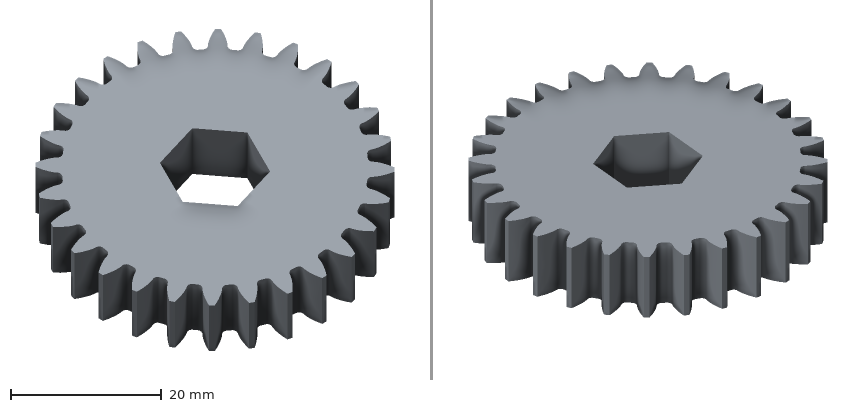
import cadquery as cq
import math

tooth_count = 28
outer_diameter = 47.6
face_width = 9.52
pressure_angle = math.radians(20)
dedendum_factor = 1.2
backlash = 0.4
root_fillet = 0.7
hex_across_flats = 12.7
hex_turn = -0.5

module = outer_diameter / (tooth_count + 2)
tip_radius = outer_diameter / 2
pitch_radius = module * tooth_count / 2
base_radius = pitch_radius * math.cos(pressure_angle)
root_radius = pitch_radius - dedendum_factor * module
tooth_pitch = 2 * math.pi / tooth_count
pitch_thickness = math.pi * module / 2 - backlash
flank_steps = 10


def involute(angle):
    return math.tan(angle) - angle


def polar(radius, angle):
    return (radius * math.cos(angle), radius * math.sin(angle))


def half_tooth_angle(radius):
    """Half the angle a tooth spans at a radius; it stays constant below the base circle."""
    local_pressure_angle = math.acos(min(1.0, base_radius / radius))
    half_at_pitch = pitch_thickness / (2 * pitch_radius)
    return half_at_pitch + involute(pressure_angle) - involute(local_pressure_angle)


def gear_blank():
    """Toothed disc: flanks radial up to the base circle and involute above, arcs at tip and root."""
    tooth_depth = tip_radius - root_radius
    radii = [root_radius + tooth_depth * i / flank_steps for i in range(flank_steps + 1)]
    foot_half = half_tooth_angle(root_radius)
    outline = cq.Workplane("XY").moveTo(*polar(root_radius, -foot_half))
    for i in range(tooth_count):
        center = i * tooth_pitch
        rising = [polar(r, center - half_tooth_angle(r)) for r in radii]
        falling = [polar(r, center + half_tooth_angle(r)) for r in reversed(radii)]
        space_middle = polar(root_radius, center + tooth_pitch / 2)
        next_foot = polar(root_radius, center + tooth_pitch - foot_half)
        outline = (
            outline.spline(rising[1:], includeCurrent=True)
            .threePointArc(polar(tip_radius, center), falling[0])
            .spline(falling[1:], includeCurrent=True)
            .threePointArc(space_middle, next_foot)
        )
    return outline.close().extrude(face_width)


def round_tooth_roots(gear):
    """Fillet the upright edges where the flanks meet the root circle."""
    limit = (root_radius + tip_radius) / 2
    root_edges = [
        edge for edge in gear.edges("|Z").vals()
        if math.hypot(edge.Center().x, edge.Center().y) < limit
    ]
    return gear.newObject(root_edges).fillet(root_fillet)


def hex_bore():
    hex_across_corners = hex_across_flats / math.cos(math.pi / 6)
    bore = cq.Workplane("XY").polygon(6, hex_across_corners).extrude(face_width)
    return bore.rotate((0, 0, 0), (0, 0, 1), hex_turn)


result = round_tooth_roots(gear_blank()).cut(hex_bore())